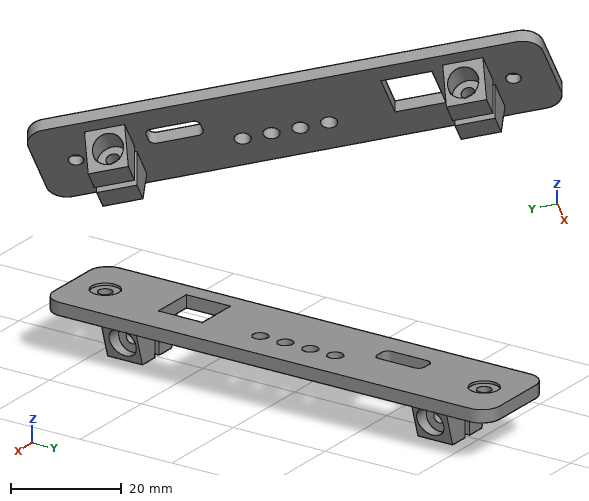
import cadquery as cq

plate_width = 19.5
plate_length = 97.0
total_height = 10.6
plate_thickness = 2.6
corner_radius = 3.9

mount_offset = 41.2
mount_diameter = 2.8
mount_recess_diameter = 5.8
mount_recess_depth = 0.5

slot_width = 4.1
slot_length = 10.3
slot_radius = 1.3
slot_center = (-2.5, 21.9)

row_count = 4
row_pitch = 5.4
row_diameter = 3.1
row_center = (2.6, 2.4)

window_width = 9.1
window_length = 9.6
window_center = (-1.5, -22.8)

lug_height = total_height - plate_thickness
lug_length = 7.6
lug_offset = 33.8
lug_top_width = 14.4
lug_bottom_width = 9.5
lug_gap = 1.5

cross_offset = 33.5
cross_depth = 4.0
cross_diameter = 2.5
cross_recess_diameter = 5.8
cross_floor_spacing = 5.8


def make_plate():
    plate = cq.Workplane("XY").rect(plate_width, plate_length).extrude(plate_thickness)
    return plate.edges("|Z").fillet(corner_radius)


def make_lug(side):
    """Split trapezoidal lug; side is +1 or -1 along Y."""
    half_top = lug_top_width / 2
    half_bottom = lug_bottom_width / 2
    half_gap = lug_gap / 2
    prong = (
        cq.Workplane("XZ", origin=(0, side * lug_offset, 0))
        .polyline([(half_gap, 0), (half_top, 0), (half_bottom, -lug_height), (half_gap, -lug_height)])
        .close()
        .extrude(lug_length / 2, both=True)
    )
    lug = prong.union(prong.mirror("YZ"))

    def cross_plane(x):
        return cq.Workplane("YZ", origin=(x, side * cross_offset, -cross_depth))

    through_hole = cross_plane(0).circle(cross_diameter / 2).extrude(half_top, both=True)
    floor_x = cross_floor_spacing / 2
    recess = cross_plane(floor_x).circle(cross_recess_diameter / 2).extrude(half_top - floor_x)
    return lug.cut(through_hole).cut(recess).cut(recess.mirror("YZ"))


def cut_mounting_holes(body):
    return (
        body.faces(">Z").workplane(origin=(0, 0, plate_thickness))
        .pushPoints([(0, mount_offset), (0, -mount_offset)])
        .cboreHole(mount_diameter, mount_recess_diameter, mount_recess_depth)
    )


def make_slot():
    slot = cq.Workplane("XY").center(*slot_center).rect(slot_width, slot_length).extrude(plate_thickness)
    return slot.edges("|Z").fillet(slot_radius)


def make_hole_row():
    return (
        cq.Workplane("XY").center(*row_center)
        .rarray(1, row_pitch, 1, row_count)
        .circle(row_diameter / 2)
        .extrude(plate_thickness)
    )


def make_window():
    return cq.Workplane("XY").center(*window_center).rect(window_width, window_length).extrude(plate_thickness)


result = cut_mounting_holes(make_plate())
for opening in (make_slot(), make_hole_row(), make_window()):
    result = result.cut(opening)
for lug_side in (1, -1):
    result = result.union(make_lug(lug_side))